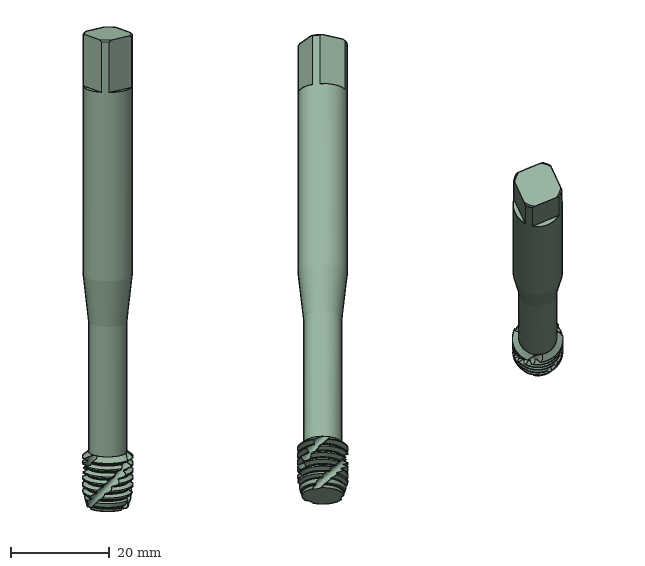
import cadquery as cq
import math

total_length = 100.0

shank_radius = 5.0
square_width = 8.1
square_length = 11.0
top_chamfer = 0.3
neck_radius = 3.9
taper_bottom = 39.0
taper_top = 49.0

head_length = 11.5
thread_diameter = 10.3
thread_radius = thread_diameter / 2
root_radius = 4.2
pitch = 1.5
crest_flat = 0.3
root_flat = 0.2
top_crest = 10.5
lead_in_length = 3.3
run_out_length = 1.0

flute_count = 3
flute_radius = 1.4
flute_center = 5.2
flute_lead = 28.0
flute_start_angle = -107.0


def make_shank():
    """Round shank tapering to a neck, with a square drive at its top end."""
    body = (
        cq.Workplane("XZ")
        .moveTo(0, head_length)
        .lineTo(neck_radius, head_length)
        .lineTo(neck_radius, taper_bottom)
        .lineTo(shank_radius, taper_top)
        .lineTo(shank_radius, total_length - top_chamfer)
        .lineTo(shank_radius - top_chamfer, total_length)
        .lineTo(0, total_length)
        .close()
        .revolve(360, (0, 0, 0), (0, 1, 0))
    )
    around_square = (
        cq.Workplane("XY", origin=(0, 0, total_length - square_length))
        .circle(2 * shank_radius)
        .rect(square_width, square_width)
        .extrude(square_length)
    )
    return body.cut(around_square).solids()


def make_toothed_blank():
    """Untrimmed head whose thread is a stack of ring-shaped teeth."""
    flank_height = (pitch - crest_flat - root_flat) / 2
    tooth_count = math.floor(top_crest / pitch) + 1

    profile = (
        cq.Workplane("XZ")
        .moveTo(0, head_length)
        .lineTo(thread_radius, head_length)
    )
    for tooth in range(tooth_count):
        crest = top_crest - tooth * pitch
        crest_bottom = crest - crest_flat / 2
        root_top = crest_bottom - flank_height
        root_bottom = root_top - root_flat
        profile = (
            profile
            .lineTo(thread_radius, crest_bottom)
            .lineTo(root_radius, root_top)
            .lineTo(root_radius, root_bottom)
            .lineTo(thread_radius, root_bottom - flank_height)
        )
    lowest = root_bottom - flank_height
    return profile.lineTo(0, lowest).close().revolve(360, (0, 0, 0), (0, 1, 0))


def make_tapered_envelope():
    """Cylinder with both ends tapered, which trims the end teeth."""
    return (
        cq.Workplane("XZ")
        .lineTo(root_radius, 0)
        .lineTo(thread_radius, lead_in_length)
        .lineTo(thread_radius, head_length - run_out_length)
        .lineTo(neck_radius, head_length)
        .lineTo(0, head_length)
        .close()
        .revolve(360, (0, 0, 0), (0, 1, 0))
    )


def make_flute(index):
    """Helical round-bottomed groove cutter along the whole head."""
    angle = math.radians(flute_start_angle + index * 360 / flute_count)
    twist = 360 * head_length / flute_lead
    return (
        cq.Workplane("XY")
        .moveTo(flute_center * math.cos(angle), flute_center * math.sin(angle))
        .circle(flute_radius)
        .twistExtrude(head_length, twist)
    )


def make_head():
    """Threaded cutting head with a tapered tip and helical flutes."""
    head = make_toothed_blank().intersect(make_tapered_envelope())
    for index in range(flute_count):
        head = head.cut(make_flute(index))
    return head.solids()


shank = make_shank()
head = make_head()

result = cq.Compound.makeCompound([shank.val(), head.val()])